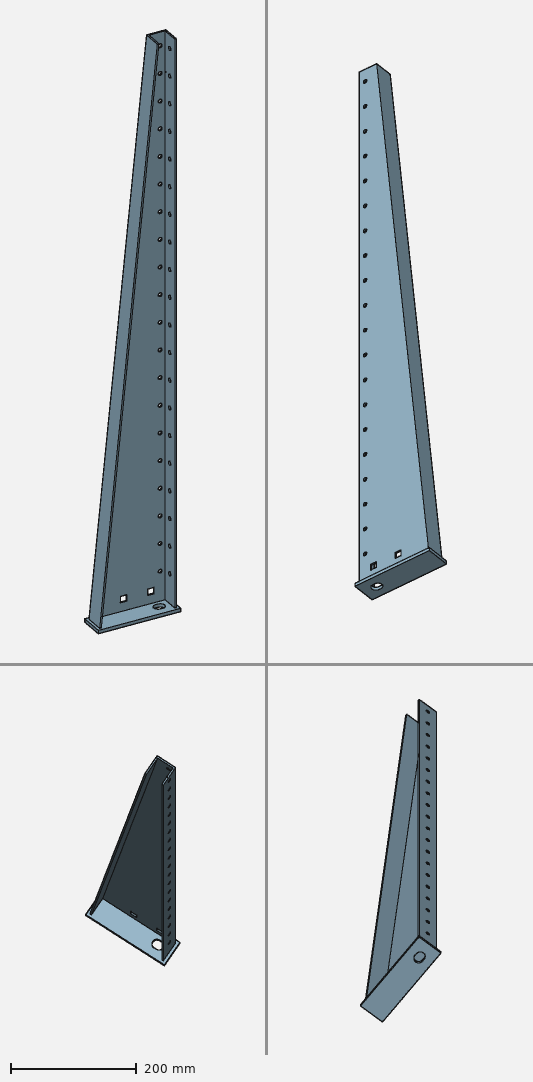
import cadquery as cq

plate_width = 45.0
plate_length = 150.0
plate_thickness = 6.0
total_height = 1036.0

sheet_thickness = 3.0
column_width = 35.0
column_margin = 5.1
column_top_depth = 35.0
column_foot_depth = plate_length - 2 * column_margin
column_left = -column_width / 2
column_right = column_width / 2
back_y = plate_length / 2 - column_margin

row_hole_count = 20
row_hole_diameter = 6.7
row_first_height = 60.0
row_span = 951.0
row_pitch = row_span / (row_hole_count - 1)
row_flange_gap = 8.9
row_y = back_y - sheet_thickness - row_flange_gap
row_heights = [row_first_height + i * row_pitch for i in range(row_hole_count)]

foot_hole_side = 11.0
foot_hole_height = 28.0
foot_hole_row_offset = 17.0
foot_hole_pitch = 50.0
foot_hole_count = 2

anchor_width = 16.0
anchor_length = 20.0
anchor_edge_offset = 27.0
anchor_y = plate_length / 2 - anchor_edge_offset


def tapered_block(left, right, inset):
    """Block with a vertical back and a sloping front, both moved in by the inset."""
    outline = [
        (back_y - inset, plate_thickness),
        (back_y - inset, total_height),
        (back_y - column_top_depth + inset, total_height),
        (back_y - column_foot_depth + inset, plate_thickness),
    ]
    return cq.Workplane("YZ").workplane(offset=left).polyline(outline).close().extrude(right - left)


def make_column():
    outside = tapered_block(column_left, column_right, 0)
    inside = tapered_block(column_left + sheet_thickness, column_right, sheet_thickness)
    return outside.cut(inside)


def make_plate():
    plate = cq.Workplane("XY").box(plate_width, plate_length, plate_thickness, centered=(True, True, False))
    anchor = cq.Workplane("XY").center(0, anchor_y).slot2D(anchor_length, anchor_width, 90)
    return plate.cut(anchor.extrude(plate_thickness))


def row_holes(plane, points):
    return plane.pushPoints(points).circle(row_hole_diameter / 2).extrude(sheet_thickness)


def foot_holes(plane):
    first_y = row_y - foot_hole_row_offset
    centres = [(first_y - i * foot_hole_pitch, foot_hole_height) for i in range(foot_hole_count)]
    return plane.pushPoints(centres).rect(foot_hole_side, foot_hole_side).extrude(sheet_thickness)


web_plane = cq.Workplane("YZ").workplane(offset=column_left)
flange_plane = cq.Workplane("XZ").workplane(offset=-back_y)

column = make_column()
column = column.cut(row_holes(web_plane, [(row_y, height) for height in row_heights]))
column = column.cut(row_holes(flange_plane, [(0, height) for height in row_heights]))
column = column.cut(foot_holes(web_plane))

result = make_plate().union(column)